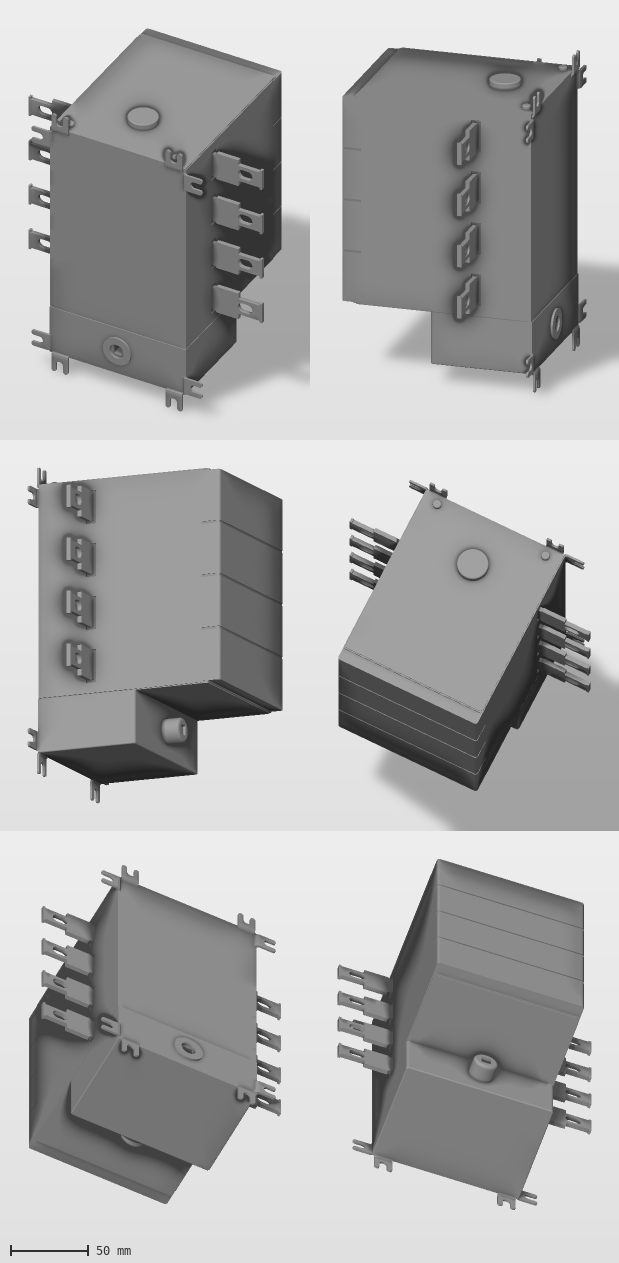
import cadquery as cq

OVERALL_X = 172.0
OVERALL_Y = 129.9
OVERALL_Z = 202
FRONT_Y = -OVERALL_Y / 2
BACK_Y = OVERALL_Y / 2

POLES = 4
POLE_PITCH = 35.0
BODY_WIDTH = 100.2
BODY_FRONT_Y = -62.8
BODY_MID_Z = 18.4
END_MARGIN = 0.5
BODY_HEIGHT = POLES * POLE_PITCH + 2 * END_MARGIN
BODY_TOP_Z = BODY_MID_Z + BODY_HEIGHT / 2
BODY_BOTTOM_Z = BODY_MID_Z - BODY_HEIGHT / 2
BACK_EDGE_RADIUS = 1.8

JOINT_WIDTH = 1.6
JOINT_LENGTH = 13.1
JOINT_DEPTH = 0.6
END_STEP_Y = 57.0

PLATE_WIDTH = 98.8
PLATE_THICKNESS = 0.6
PLATE_BACK_Y = 56.2
PLATE_CORNER_RADIUS = 2.2
PLATE_TOP_Z = BODY_TOP_Z + PLATE_THICKNESS
PLATE_BOTTOM_Z = BODY_BOTTOM_Z - PLATE_THICKNESS

BOX_HEIGHT = 35.4
BOX_FRONT_Y = -63.5
BOX_BACK_Y = 5.0
BOX_EDGE_RADIUS = 0.8
BOX_BOTTOM_Z = PLATE_BOTTOM_Z - BOX_HEIGHT

SHAFT_Z = -69.9
SHAFT_DIAMETER = 16.4
SHAFT_END_Y = 17.0
SHAFT_END_RADIUS = 2.0
DISC_DIAMETER = 20.5
SOCKET_DIAMETER = 10.5
SOCKET_DEPTH = 2.0
SQUARE_HOLE = 6.5

CAP_DIAMETER = 20.5
CAP_HEIGHT = 4.6
CAP_Y = -29.7
CAP_EDGE_RADIUS = 0.8
SCREW_DIAMETER = 5.7
SCREW_HEIGHT = 2.6
SCREW_X = 39.0
SCREW_Y = -56.4
SCREW_EDGE_RADIUS = 0.8

BLADE_Y = -25.9
BLADE_THICKNESS = 2.8
BLADE_TIP_X = OVERALL_X / 2
BLADE_LIP_LENGTH = 1.6
BLADE_LIP_HEIGHT = 14.7
BLADE_SHANK_HEIGHT = 12.0
BLADE_BLOCK_HEIGHT = 20.2
BLADE_BLOCK_END_X = 68.7
BLADE_ROOT_X = 51.3
BLADE_ROOT_CHAMFER = 1.5
BLADE_HOLE_X = 73.7
BLADE_HOLE_LENGTH = 10.5
BLADE_HOLE_HEIGHT = 6.9
POCKET_HEIGHT = 21.8
POCKET_WIDTH = 6.9
POCKET_DEPTH = 1.0

LUG_WIDTH = 12.1
LUG_THICKNESS = 1.5
LUG_LENGTH = 11.7
LUG_BEND_LENGTH = 1.6
LUG_BEND_SETBACK = 0.5
LUG_JOGGLE = 3.0
LUG_SLOT_WIDTH = 5.3
LUG_SLOT_LENGTH = 8.5
LUG_TIP_RADIUS = 1.6
UPRIGHT_LUG_X = 42.0
SIDE_LUG_Z = 80.0
SIDE_LUG_TIP_X = 62.8


def block(x, y, z):
    """Box given by its (low, high) limits along each axis."""
    corner = cq.Workplane("XY", origin=(x[0], y[0], z[0]))
    return corner.box(x[1] - x[0], y[1] - y[0], z[1] - z[0], centered=False)


def slab(width, y, z):
    """Box centred on X = 0."""
    return block((-width / 2, width / 2), y, z)


def cylinder_y(diameter, start_y, end_y):
    """Cylinder along Y on the shaft axis."""
    disc = cq.Workplane("XZ", origin=(0, start_y, SHAFT_Z)).circle(diameter / 2)
    return disc.extrude(start_y - end_y)


def pole_z(index):
    """Height of the middle of a pole module, counted from the bottom."""
    return BODY_MID_Z + (index - (POLES - 1) / 2) * POLE_PITCH


def end_plate(bottom_z):
    plate = slab(PLATE_WIDTH, (BODY_FRONT_Y, PLATE_BACK_Y), (bottom_z, bottom_z + PLATE_THICKNESS))
    return plate.edges("|Z and >Y").fillet(PLATE_CORNER_RADIUS)


def body():
    poles = slab(BODY_WIDTH, (BODY_FRONT_Y, BACK_Y), (BODY_BOTTOM_Z, BODY_TOP_Z))
    poles = poles.edges("|Z and >Y").fillet(BACK_EDGE_RADIUS)

    core_width = BODY_WIDTH - 2 * JOINT_DEPTH
    joints_z = [pole_z(i) + POLE_PITCH / 2 for i in range(POLES - 1)]
    for joint_z in [BODY_BOTTOM_Z, *joints_z, BODY_TOP_Z]:
        limits_z = (joint_z - JOINT_WIDTH / 2, joint_z + JOINT_WIDTH / 2)
        groove = slab(BODY_WIDTH, (BACK_Y - JOINT_LENGTH, BACK_Y), limits_z)
        core = slab(core_width, (BACK_Y - JOINT_LENGTH, BACK_Y - JOINT_DEPTH), limits_z)
        poles = poles.cut(groove.cut(core))
    for end_z in (BODY_BOTTOM_Z, BODY_TOP_Z):
        limits_z = (end_z - JOINT_WIDTH / 2, end_z + JOINT_WIDTH / 2)
        poles = poles.cut(slab(BODY_WIDTH, (END_STEP_Y, BACK_Y), limits_z))

    return poles.union(end_plate(BODY_TOP_Z)).union(end_plate(PLATE_BOTTOM_Z))


def mechanism_box():
    """Box with the round disc on its front and the shaft stub on its back."""
    box = slab(BODY_WIDTH, (BOX_FRONT_Y, BOX_BACK_Y), (BOX_BOTTOM_Z, PLATE_BOTTOM_Z))
    box = box.edges("|Z and >Y").fillet(BACK_EDGE_RADIUS)
    box = box.edges("<Z and (not <Y)").fillet(BOX_EDGE_RADIUS)
    shaft = cylinder_y(SHAFT_DIAMETER, BOX_BACK_Y, SHAFT_END_Y).faces(">Y").edges().fillet(SHAFT_END_RADIUS)
    disc = cylinder_y(DISC_DIAMETER, FRONT_Y, BOX_FRONT_Y)
    return box.union(shaft).union(disc)


def shaft_hole():
    """Round socket in the front disc, continuing as a square hole right through the shaft."""
    square = cq.Workplane("XZ", origin=(0, FRONT_Y, SHAFT_Z)).rect(SQUARE_HOLE, SQUARE_HOLE)
    return square.extrude(FRONT_Y - SHAFT_END_Y).union(
        cylinder_y(SOCKET_DIAMETER, FRONT_Y, FRONT_Y + SOCKET_DEPTH)
    )


def cap():
    top_plate = cq.Workplane("XY", origin=(0, CAP_Y, PLATE_TOP_Z))
    return top_plate.circle(CAP_DIAMETER / 2).extrude(CAP_HEIGHT).faces(">Z").edges().fillet(CAP_EDGE_RADIUS)


def screw_heads():
    top_plate = cq.Workplane("XY", origin=(0, SCREW_Y, PLATE_TOP_Z))
    heads = top_plate.pushPoints([(-SCREW_X, 0), (SCREW_X, 0)]).circle(SCREW_DIAMETER / 2)
    return heads.extrude(SCREW_HEIGHT).faces(">Z").edges().fillet(SCREW_EDGE_RADIUS)


def blade():
    """Terminal blade on the +X side, centred on Z = 0, with its neck reaching the pocket floor."""
    limits_y = (BLADE_Y - BLADE_THICKNESS / 2, BLADE_Y + BLADE_THICKNESS / 2)

    def bar(x, height):
        return block(x, limits_y, (-height / 2, height / 2))

    wide = bar((BLADE_ROOT_X, BLADE_BLOCK_END_X), BLADE_BLOCK_HEIGHT)
    wide = wide.edges("<X and |Y").chamfer(BLADE_ROOT_CHAMFER)
    shank = bar((BLADE_BLOCK_END_X, BLADE_TIP_X), BLADE_SHANK_HEIGHT)
    lip = bar((BLADE_TIP_X - BLADE_LIP_LENGTH, BLADE_TIP_X), BLADE_LIP_HEIGHT)
    hole = (
        cq.Workplane("XZ", origin=(BLADE_HOLE_X, BLADE_Y, 0))
        .slot2D(BLADE_HOLE_LENGTH, BLADE_HOLE_HEIGHT)
        .extrude(BLADE_THICKNESS, both=True)
    )
    neck_height = BLADE_BLOCK_HEIGHT - 2 * BLADE_ROOT_CHAMFER
    neck = bar((BODY_WIDTH / 2 - POCKET_DEPTH, BLADE_ROOT_X), neck_height)
    return wide.union(shank).union(lip).cut(hole).union(neck).clean()


def pocket():
    """Shallow pocket round the root of a +X blade, centred on Z = 0."""
    return block(
        (BODY_WIDTH / 2 - POCKET_DEPTH, BODY_WIDTH / 2),
        (BLADE_Y - POCKET_WIDTH / 2, BLADE_Y + POCKET_WIDTH / 2),
        (-POCKET_HEIGHT / 2, POCKET_HEIGHT / 2),
    )


def lug():
    """Lug pointing along +Z with its tip at Z = 0, bent back at its root into the body."""
    plate_back_y = FRONT_Y + LUG_THICKNESS
    profile = [
        (FRONT_Y, 0),
        (FRONT_Y, -LUG_LENGTH),
        (FRONT_Y + LUG_BEND_SETBACK, -LUG_LENGTH - LUG_BEND_LENGTH),
        (BODY_FRONT_Y, -LUG_LENGTH - LUG_JOGGLE),
        (BODY_FRONT_Y + LUG_THICKNESS, -LUG_LENGTH - LUG_JOGGLE),
        (plate_back_y, -LUG_LENGTH),
        (plate_back_y, 0),
    ]
    strip = cq.Workplane("YZ").polyline(profile).close().extrude(LUG_WIDTH / 2, both=True)
    slot_bottom = LUG_SLOT_WIDTH / 2 - LUG_SLOT_LENGTH
    slot = (
        cq.Workplane("XZ", origin=(0, FRONT_Y, 0))
        .moveTo(-LUG_SLOT_WIDTH / 2, 0)
        .lineTo(-LUG_SLOT_WIDTH / 2, slot_bottom)
        .threePointArc((0, -LUG_SLOT_LENGTH), (LUG_SLOT_WIDTH / 2, slot_bottom))
        .lineTo(LUG_SLOT_WIDTH / 2, 0)
        .close()
        .extrude(-LUG_THICKNESS)
    )
    return strip.cut(slot).edges("|Y and >Z").fillet(LUG_TIP_RADIUS)


def mirrored_x(shape):
    return shape.union(shape.mirror("YZ"))


def mirrored_z(shape):
    return shape.union(shape.mirror("XY"))


part = body().union(mechanism_box()).union(cap()).union(screw_heads())
part = part.cut(shaft_hole())

for i in range(POLES):
    part = part.cut(mirrored_x(pocket()).translate((0, 0, pole_z(i))))
    part = part.union(mirrored_x(blade()).translate((0, 0, pole_z(i))))

upright_lug = lug().translate((UPRIGHT_LUG_X, 0, OVERALL_Z / 2))
side_lug = lug().rotate((0, 0, 0), (0, 1, 0), 90).translate((SIDE_LUG_TIP_X, 0, SIDE_LUG_Z))
part = part.union(mirrored_z(mirrored_x(upright_lug)))
part = part.union(mirrored_z(mirrored_x(side_lug)))

result = part